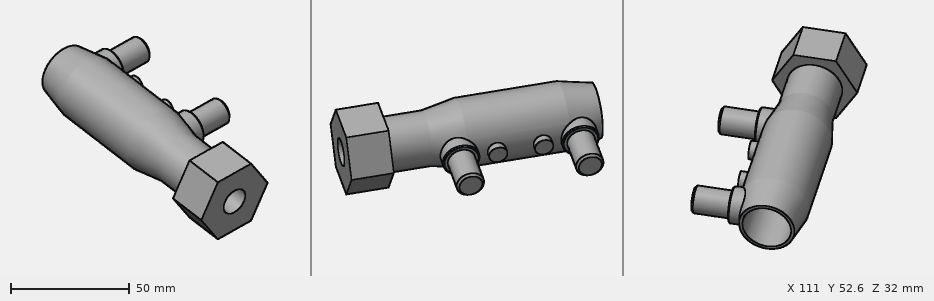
import cadquery as cq
import math

total_length = 111.0
taper_length = 14.8
barrel_end = 59.4
neck_start = barrel_end + taper_length
nut_length = 18.4
nut_start = total_length - nut_length

barrel_radius = 15.0
neck_radius = 12.0
nut_across_flats = 32.0
nut_across_corners = nut_across_flats / math.cos(math.pi / 6)

socket_radius = 10.5
neck_bore_radius = 8.3
through_radius = 6.0

bolt_positions = (11.0, 62.9)
bolt_radius = 6.0
bolt_tip = 34.1
bolt_chamfer = 1.0
collar_radius = 8.0
collar_chamfer = 0.5
stub_positions = (27.0, 47.0)
stub_radius = 4.0
fitting_top = 17.6


def revolve_about_x(profile):
    return cq.Workplane("XY").polyline(profile).close().revolve(360, (0, 0, 0), (1, 0, 0))


def side_pin(x, radius, tip, chamfer=0.0):
    """Solid pin from the sleeve axis out to y = tip, with an optional end chamfer."""
    pin = cq.Workplane("XZ", origin=(x, 0, 0)).circle(radius).extrude(-tip)
    if chamfer:
        pin = pin.faces(">Y").chamfer(chamfer)
    return pin


sleeve = revolve_about_x([
    (0, 0),
    (0, neck_radius),
    (taper_length, barrel_radius),
    (barrel_end, barrel_radius),
    (neck_start, neck_radius),
    (nut_start, neck_radius),
    (nut_start, 0),
])

nut = cq.Workplane("YZ", origin=(nut_start, 0, 0)).polygon(6, nut_across_corners).extrude(nut_length)

body = sleeve.union(nut)
for x in bolt_positions:
    body = body.union(side_pin(x, collar_radius, fitting_top, collar_chamfer))
    body = body.union(side_pin(x, bolt_radius, bolt_tip, bolt_chamfer))
for x in stub_positions:
    body = body.union(side_pin(x, stub_radius, fitting_top))

bore = revolve_about_x([
    (0, 0),
    (0, socket_radius),
    (neck_start, socket_radius),
    (neck_start, neck_bore_radius),
    (nut_start, neck_bore_radius),
    (nut_start, through_radius),
    (total_length, through_radius),
    (total_length, 0),
])

result = body.cut(bore)